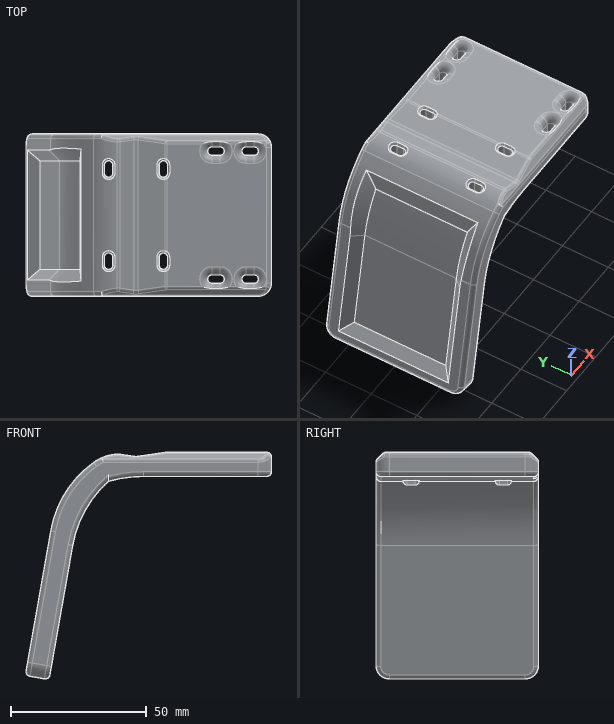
import cadquery as cq
import math

WIDTH = 60.0
THICKNESS = 9.0
PLATE_END_X = 50.0
CORNER_RADIUS = 5.0
EDGE_RADIUS = 1.8
SIDE_CHAMFER = 3.0
SHARP_TURN = 35.0

VALLEY_DEPTH = 1.6
RAMP_END_X = 11.1
HUMP_X = -6.4
CREST_RADIUS = 5.6

ARM_LEAN = 10.0
ARM_END_CORNER = (-40.88, -82.4)
OUTER_BEND_START_Z = -29.0
OUTER_BEND_END = (-15.6, -3.75)
INNER_BEND_START_Z = -34.4
INNER_CREASE = (-10.2, -10.8)
INNER_FLAT_START_X = 2.8

RECESS_WEB = 5.0
RECESS_FLOOR_WIDTH = 40.0
RECESS_FLOOR_BOTTOM_Z = -74.7
RECESS_RIM_BOTTOM_Z = -77.6
RECESS_FLOOR_TOP_Z = -15.2
RECESS_RIM_TOP = (-20.3, -7.8)
RECESS_REACH = 8.0
RECESS_OVERSHOOT = 2.0
RECESS_CLEARANCE = 24.0
RECESS_TURN = 90.0

SLOT_LENGTH = 6.0
SLOT_WIDTH = 3.0
BEND_SLOT_XS = (-10.1, 10.1)
BEND_SLOT_Y = 17.0
BEND_SLOT_CHAMFER = 0.85
PLATE_SLOT_XS = (29.5, 42.1)
PLATE_SLOT_Y = 23.6
PLATE_SLOT_FLARE = 3.0

lean = math.radians(ARM_LEAN)
arm_up = (math.sin(lean), math.cos(lean))
arm_inward = (math.cos(lean), -math.sin(lean))


def moved(point, direction, distance):
    return (point[0] + direction[0] * distance, point[1] + direction[1] * distance)


def extended(start, end, extra):
    """Point `extra` times as far from `start` as `end` is."""
    return moved(start, (end[0] - start[0], end[1] - start[1]), extra)


def point_on_arm(depth, z):
    """Point at height z on the line lying `depth` under the arm's outer face."""
    start = moved(ARM_END_CORNER, arm_inward, depth)
    return moved(start, arm_up, (z - start[1]) / arm_up[1])


def arc_from(start, toward_centre, end):
    """Centre, radius and middle point of the arc that leaves `start` square to a unit direction."""
    dx, dz = end[0] - start[0], end[1] - start[1]
    radius = (dx**2 + dz**2) / (2 * (dx * toward_centre[0] + dz * toward_centre[1]))
    centre = moved(start, toward_centre, radius)
    chord_middle = moved(start, (dx, dz), 0.5)
    span = math.dist(centre, chord_middle)
    outward = ((chord_middle[0] - centre[0]) / span, (chord_middle[1] - centre[1]) / span)
    return centre, radius, moved(centre, outward, radius)


outer_bend_start = point_on_arm(0, OUTER_BEND_START_Z)
inner_bend_start = point_on_arm(THICKNESS, INNER_BEND_START_Z)
inner_flat_start = (INNER_FLAT_START_X, -THICKNESS)
inner_arm_end = moved(ARM_END_CORNER, arm_inward, THICKNESS)
bend_centre, bend_radius, bend_middle = arc_from(inner_bend_start, arm_inward, INNER_CREASE)
flat_bend_middle = arc_from(inner_flat_start, (0, -1), INNER_CREASE)[2]
hump = (HUMP_X, VALLEY_DEPTH * (-HUMP_X / RAMP_END_X - 1))
valley = (0, -VALLEY_DEPTH)
ramp_end = (RAMP_END_X, 0)


def make_body():
    body = (
        cq.Workplane("XZ")
        .moveTo(*ARM_END_CORNER)
        .lineTo(*outer_bend_start)
        .tangentArcPoint(OUTER_BEND_END, relative=False)
        .tangentArcPoint(hump, relative=False)
        .lineTo(*valley)
        .lineTo(*ramp_end)
        .lineTo(PLATE_END_X, 0)
        .lineTo(PLATE_END_X, -THICKNESS)
        .lineTo(*inner_flat_start)
        .threePointArc(flat_bend_middle, INNER_CREASE)
        .threePointArc(bend_middle, inner_bend_start)
        .lineTo(*inner_arm_end)
        .close()
        .extrude(WIDTH / 2, both=True)
    )
    for x, z in (hump, valley, ramp_end):
        crest = cq.selectors.NearestToPointSelector((x, 0, z))
        body = body.edges("|Y").edges(crest).fillet(CREST_RADIUS)
    return body


def round_corners(body):
    body = body.edges("|Z").edges(">X").fillet(CORNER_RADIUS)
    across_arm = cq.selectors.ParallelDirSelector(cq.Vector(arm_inward[0], 0, arm_inward[1]))
    return body.edges(across_arm).edges("<Z").fillet(CORNER_RADIUS)


def chamfer_sides(body):
    """Bevel both long top edges; each bevel runs out where the bend drops below it."""
    inset = WIDTH / 2 - SIDE_CHAMFER
    for side in (-1, 1):
        wedge = (
            cq.Workplane("YZ", origin=(OUTER_BEND_END[0], 0, 0))
            .moveTo(side * (inset - SIDE_CHAMFER), SIDE_CHAMFER)
            .lineTo(side * WIDTH / 2, -SIDE_CHAMFER)
            .lineTo(side * WIDTH, -SIDE_CHAMFER)
            .lineTo(side * WIDTH, SIDE_CHAMFER)
            .close()
            .extrude(PLATE_END_X - OUTER_BEND_END[0])
        )
        body = body.cut(wedge)
    return body


def is_sharp(edge, faces):
    """True where the two faces that share the edge turn sharply."""
    middle = edge.positionAt(0.5)
    beside = [face for face in faces if any(edge.isSame(other) for other in face.Edges())]
    if len(beside) != 2:
        return False
    turn = beside[0].normalAt(middle).getAngle(beside[1].normalAt(middle))
    return math.degrees(turn) > SHARP_TURN


def inner_edges(body, face_points):
    """Sharp edges around the inner faces nearest to the given (X, Z) points."""
    faces = body.faces().vals()
    edges = []
    for x, z in face_points:
        inner_face = body.faces(cq.selectors.NearestToPointSelector((x, 0, z))).val()
        edges += [edge for edge in inner_face.Edges() if is_sharp(edge, faces)]
    return edges


def split_edges(half, face_points):
    """Inner edges of one half that do not lie on the plane through the crease."""
    edges = inner_edges(half, face_points)
    return [edge for edge in edges if abs(edge.Center().x - INNER_CREASE[0]) > EDGE_RADIUS]


def round_edges(body):
    arm_middle = moved(inner_bend_start, arm_up, -math.dist(inner_bend_start, inner_arm_end) / 2)
    plate_middle = ((INNER_FLAT_START_X + PLATE_END_X) / 2, -THICKNESS)
    arm_faces = (arm_middle, bend_middle)
    plate_faces = (plate_middle, flat_bend_middle)

    faces = body.faces().vals()
    inner = inner_edges(body, arm_faces + plate_faces)
    outer = [
        edge
        for edge in body.edges().vals()
        if is_sharp(edge, faces) and not any(edge.isSame(other) for other in inner)
    ]
    body = body.newObject(outer).fillet(EDGE_RADIUS)

    plate_space = (
        cq.Workplane("YZ", origin=(INNER_CREASE[0], 0, 0))
        .rect(2 * WIDTH, 2 * WIDTH)
        .extrude(2 * PLATE_END_X)
    )
    plate = body.intersect(plate_space)
    arm = body.cut(plate_space)
    plate = plate.newObject(split_edges(plate, plate_faces)).fillet(EDGE_RADIUS)
    arm = arm.newObject(split_edges(arm, arm_faces)).fillet(EDGE_RADIUS)
    return plate.union(arm).clean()


def recess_section(floor_point):
    """Cross-section of the recess, square to the arm, widening outwards from the floor."""
    plane = cq.Plane(
        origin=(floor_point[0], 0, floor_point[1]),
        xDir=(-arm_inward[0], 0, -arm_inward[1]),
        normal=(-arm_up[0], 0, -arm_up[1]),
    )
    half_floor = RECESS_FLOOR_WIDTH / 2
    half_mouth = half_floor + RECESS_REACH
    return (
        cq.Workplane(plane)
        .moveTo(0, -half_floor)
        .lineTo(RECESS_REACH, -half_mouth)
        .lineTo(RECESS_REACH, half_mouth)
        .lineTo(0, half_floor)
        .close()
    )


def cut_recess(body):
    depth = THICKNESS - RECESS_WEB
    floor_bottom = point_on_arm(depth, RECESS_FLOOR_BOTTOM_Z)
    floor_turn = moved(inner_bend_start, arm_inward, -RECESS_WEB)
    floor_radius = bend_radius + RECESS_WEB
    rise = RECESS_FLOOR_TOP_Z - bend_centre[1]
    floor_top = (bend_centre[0] - math.sqrt(floor_radius**2 - rise**2), RECESS_FLOOR_TOP_Z)
    rim_bottom = point_on_arm(0, RECESS_RIM_BOTTOM_Z)
    outline = (
        cq.Workplane("XZ")
        .moveTo(*floor_bottom)
        .lineTo(*floor_turn)
        .threePointArc(arc_from(floor_turn, arm_inward, floor_top)[2], floor_top)
        .lineTo(*extended(floor_top, RECESS_RIM_TOP, RECESS_OVERSHOOT))
        .lineTo(*moved(floor_turn, arm_inward, -RECESS_CLEARANCE))
        .lineTo(*extended(floor_bottom, rim_bottom, RECESS_OVERSHOOT))
        .close()
        .extrude(WIDTH / 2, both=True)
    )
    straight = recess_section(floor_turn).extrude(WIDTH)
    around = recess_section(floor_turn).revolve(RECESS_TURN, (-floor_radius, -1), (-floor_radius, 1))
    return body.cut(outline.intersect(straight.union(around)))


def corner_pattern(xs, y):
    return [(x, side * y) for x in xs for side in (-1, 1)]


def cut_bend_slots(body):
    slots = (
        cq.Workplane("XY", origin=(0, 0, -2 * THICKNESS))
        .pushPoints(corner_pattern(BEND_SLOT_XS, BEND_SLOT_Y))
        .slot2D(SLOT_LENGTH, SLOT_WIDTH, 90)
        .extrude(3 * THICKNESS)
    )
    body = body.cut(slots)
    rims = []
    for x, y in corner_pattern(BEND_SLOT_XS, BEND_SLOT_Y):
        mouth = cq.selectors.BoxSelector(
            (x - SLOT_WIDTH, y - SLOT_LENGTH, -THICKNESS / 3),
            (x + SLOT_WIDTH, y + SLOT_LENGTH, THICKNESS),
        )
        rims += body.edges(mouth).vals()
    return body.newObject(rims).chamfer(BEND_SLOT_CHAMFER)


def cut_plate_slots(body):
    """Slots whose mouths flare out in a full round."""
    block_side = 4 * SLOT_LENGTH
    block = cq.Workplane("XY").rect(block_side, block_side).extrude(-THICKNESS)
    drilled = block.faces(">Z").workplane().slot2D(SLOT_LENGTH, SLOT_WIDTH).cutThruAll()
    mouth = cq.selectors.BoxSelector(
        (-SLOT_LENGTH, -SLOT_WIDTH, -THICKNESS / 3), (SLOT_LENGTH, SLOT_WIDTH, THICKNESS)
    )
    tool = block.cut(drilled.edges(mouth).fillet(PLATE_SLOT_FLARE))
    for x, y in corner_pattern(PLATE_SLOT_XS, PLATE_SLOT_Y):
        body = body.cut(tool.translate((x, y, 0)))
    return body


result = make_body()
result = round_corners(result)
result = chamfer_sides(result)
result = round_edges(result)
result = cut_recess(result)
result = cut_bend_slots(result)
result = cut_plate_slots(result)